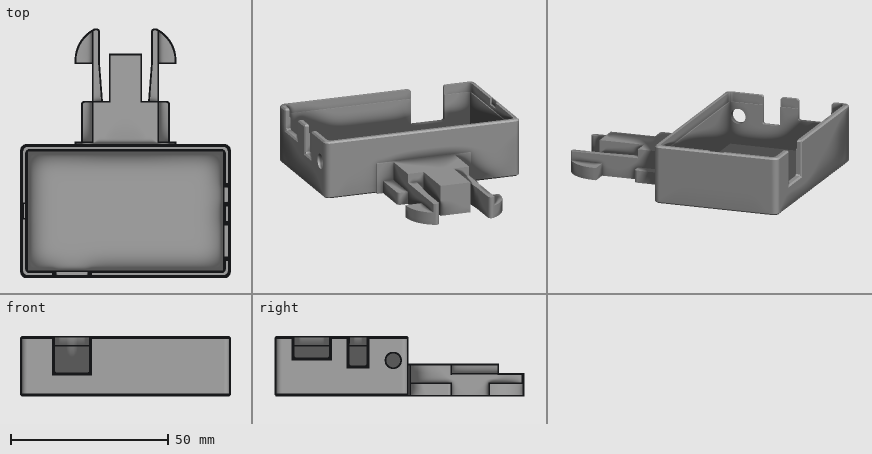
import cadquery as cq
import math

case_length = 66.5
case_depth = 42.2
case_height = 18.9
wall = 2.0
floor = 2.0
corner_radius = 2.0
edge_chamfer = 0.5

rim_width = 1.6
rebate_depth = 3.0
rebate_radius = 1.4

pry_width = 5.0
pry_depth = 2.0
pry_skin = 0.8

front_notch_start = -22.7
wide_notch_width = 11.4
front_notch_bottom = 7.2
side_wide_notch_start = 5.9
side_wide_notch_bottom = 11.9
side_post_width = 6.0
side_narrow_notch_width = 6.0
side_narrow_notch_bottom = 9.5
hole_diameter = 5.0
hole_y = 37.5
hole_z = 11.3

plug_tip = 79
plug_height = 10.0
flange_half_width = 15.95
flange_thickness = 0.8
body_half_width = 10.4
body_end = 55.9
guide_half_width = 13.9
guide_height = 4.0
guide_radius = 1.0
tongue_half_width = 5.05
tongue_end = 70.9
arm_height = 7.0
arm_tip_thickness = 2.05
arm_root_thickness = 3.0
arm_tip_radius = 1.0
barb_start = 68.1
barb_straight = 0.8

case_right = case_length / 2

arm_inner = body_half_width - arm_tip_thickness
tip_centre_x = arm_inner + arm_tip_radius
tip_centre_y = plug_tip - arm_tip_radius

barb_centre_y = barb_start + barb_straight
tip_inset = flange_half_width - tip_centre_x
tip_rise = tip_centre_y - barb_centre_y
barb_radius = (tip_inset**2 + tip_rise**2 - arm_tip_radius**2) / (2 * (tip_inset - arm_tip_radius))
barb_centre_x = flange_half_width - barb_radius


def box(x_range, y_range, z_range):
    """Block spanning the given (low, high) limits."""
    lows, highs = zip(x_range, y_range, z_range)
    sizes = [high - low for low, high in zip(lows, highs)]
    return cq.Workplane("XY").box(*sizes, centered=False).translate(lows)


def case_shell():
    """Tray with rounded corners, a stepped rim and a pry notch."""
    shell = box((-case_right, case_right), (0, case_depth), (0, case_height))
    shell = shell.edges("|Z").fillet(corner_radius)
    shell = shell.faces("<Z or >Z").chamfer(edge_chamfer)

    inner_right = case_right - wall
    cavity = box((-inner_right, inner_right), (wall, case_depth - wall), (floor, case_height))

    rebate_right = case_right - rim_width
    rebate_bottom = case_height - rebate_depth
    rebate = box(
        (-rebate_right, rebate_right),
        (rim_width, case_depth - rim_width),
        (rebate_bottom, case_height),
    )
    rebate = rebate.edges("|Z").fillet(rebate_radius)

    pry_start = (case_depth - pry_width) / 2
    pry_notch = box(
        (-case_right + pry_skin, -rebate_right),
        (pry_start, pry_start + pry_width),
        (case_height - pry_depth, case_height),
    )
    return shell.cut(cavity).cut(rebate).cut(pry_notch)


def notch_cutter(outer_face, start, width, bottom):
    """Rim notch through a wall, bevelled at its rim, its lower corners and its outer edge.

    outer_face is a plane on the wall's outside: local x along the wall, local y up, normal outward.
    """
    end = start + width
    above = case_height + edge_chamfer
    throat_points = [
        (start, bottom + edge_chamfer),
        (start + edge_chamfer, bottom),
        (end - edge_chamfer, bottom),
        (end, bottom + edge_chamfer),
        (end, case_height - edge_chamfer),
        (end + 2 * edge_chamfer, above),
        (start - 2 * edge_chamfer, above),
        (start, case_height - edge_chamfer),
    ]
    throat = cq.Workplane(outer_face).polyline(throat_points).close().extrude(-wall)

    flare_height = above - bottom + 2 * edge_chamfer
    flare = (
        cq.Workplane(outer_face)
        .center((start + end) / 2, bottom - edge_chamfer + flare_height / 2)
        .rect(width + 2 * edge_chamfer, flare_height)
        .workplane(offset=-edge_chamfer)
        .rect(width, flare_height - 2 * edge_chamfer)
        .loft()
    )
    return throat.union(flare)


def barb_y(x):
    """Y on the barb's rounded back at a distance x from the centre plane."""
    return barb_centre_y + math.sqrt(barb_radius**2 - (x - barb_centre_x) ** 2)


def spring_arm():
    """Arm on the +X side, with a low barb whose back runs on round the arm's tip."""
    root_inner = body_half_width - arm_root_thickness
    shoulder = (body_half_width, barb_y(body_half_width))

    direction = math.atan2(tip_centre_y - barb_centre_y, tip_centre_x - barb_centre_x)
    tangent_x = tip_centre_x + arm_tip_radius * math.cos(direction)
    tangent_y = tip_centre_y + arm_tip_radius * math.sin(direction)
    back_mid_x = (body_half_width + tangent_x) / 2
    arm = (
        cq.Workplane("XY")
        .moveTo(root_inner, body_end)
        .lineTo(body_half_width, body_end)
        .lineTo(*shoulder)
        .threePointArc((back_mid_x, barb_y(back_mid_x)), (tangent_x, tangent_y))
        .threePointArc((tip_centre_x, plug_tip), (arm_inner, tip_centre_y))
        .lineTo(arm_inner, barb_start)
        .close()
        .extrude(arm_height)
    )

    barb_mid_x = (body_half_width + flange_half_width) / 2
    barb = (
        cq.Workplane("XY")
        .moveTo(body_half_width, barb_start)
        .lineTo(flange_half_width, barb_start)
        .lineTo(flange_half_width, barb_centre_y)
        .threePointArc((barb_mid_x, barb_y(barb_mid_x)), shoulder)
        .close()
        .extrude(guide_height)
    )
    return arm.union(barb)


def plug():
    """Flange, body, guide rails, centre tongue and two mirrored spring arms."""
    inside_wall = case_depth - wall / 2
    flange = box(
        (-flange_half_width, flange_half_width),
        (inside_wall, case_depth + flange_thickness),
        (0, plug_height),
    )
    body = box((-body_half_width, body_half_width), (inside_wall, body_end), (0, plug_height))
    guides = box((-guide_half_width, guide_half_width), (inside_wall, body_end), (0, guide_height))
    guides = guides.edges("|Z and >Y").fillet(guide_radius)
    tongue = box((-tongue_half_width, tongue_half_width), (inside_wall, tongue_end), (0, plug_height))
    arm = spring_arm()
    return flange.union(body).union(guides).union(tongue).union(arm).union(arm.mirror("YZ"))


front_face = cq.Plane(origin=(0, 0, 0), xDir=(1, 0, 0), normal=(0, -1, 0))
right_face = cq.Plane(origin=(case_right, 0, 0), xDir=(0, 1, 0), normal=(1, 0, 0))
side_narrow_notch_start = side_wide_notch_start + wide_notch_width + side_post_width

notches = [
    (front_face, front_notch_start, wide_notch_width, front_notch_bottom),
    (right_face, side_wide_notch_start, wide_notch_width, side_wide_notch_bottom),
    (right_face, side_narrow_notch_start, side_narrow_notch_width, side_narrow_notch_bottom),
]

case = case_shell()
for notch in notches:
    case = case.cut(notch_cutter(*notch))

hole = cq.Workplane(right_face).center(hole_y, hole_z).circle(hole_diameter / 2).extrude(-wall)
result = case.cut(hole).union(plug())